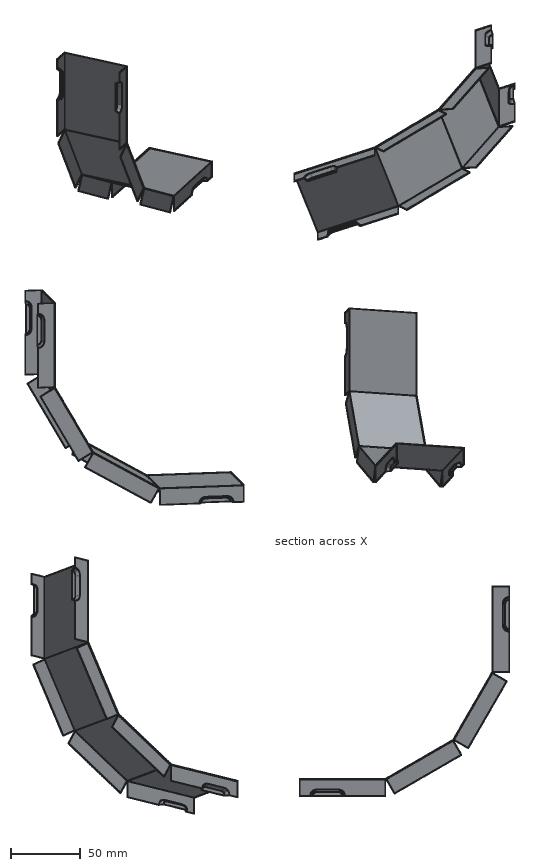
import cadquery as cq
import math

width = 50.0
span = 150.0
sheet = 0.5
flange_depth = 12.3
end_length = 61.5
bend_angle = 30.0
bend_gap = 0.22
relief_width = 0.9

recess_from_end = 20.0
recess_straight = 15.0
recess_radius = 4.8
recess_reach = 4.5
recess_depth = 3.1
recess_draft = 28.0

bend = math.radians(bend_angle)
draft = math.radians(recess_draft)
middle_length = (span - end_length - flange_depth) / (math.cos(bend) + math.sin(bend))
lengths = [end_length, middle_length, middle_length, end_length]

corners = [(span, flange_depth)]
for number, length in enumerate(lengths):
    y, z = corners[-1]
    corners.append((y - length * math.cos(number * bend), z + length * math.sin(number * bend)))


def make_skin():
    """All four panels as one mitred strip, inward of the corner line."""
    inner = []
    for number, (y, z) in enumerate(corners):
        before = max(number - 1, 0) * bend
        after = min(number, len(lengths) - 1) * bend
        heading = (before + after) / 2
        offset = sheet / math.cos((after - before) / 2)
        inner.append((y - offset * math.sin(heading), z - offset * math.cos(heading)))
    outline = cq.Workplane("YZ").polyline(corners + inner[::-1]).close()
    return outline.extrude(width / 2, both=True)


def make_bend_relief(number):
    """Pair of notches that narrow the sheet at one bend, between the flange ends."""
    side = (width - relief_width) / 2
    notches = cq.Workplane().pushPoints([(-side, 0), (side, 0)]).box(relief_width, 2 * bend_gap, 4 * sheet)
    mean_heading = (number - 0.5) * bend_angle
    return notches.rotate((0, 0, 0), (1, 0, 0), -mean_heading).translate((0, *corners[number]))


def recess_body(radius, face_x, middle_y):
    """Tapered slot growing toward +X from the plane at face_x."""
    return (
        cq.Workplane("YZ", origin=(face_x, middle_y, recess_reach - recess_radius - flange_depth))
        .slot2D(recess_straight + 2 * radius, 2 * radius)
        .extrude(recess_depth, taper=recess_draft)
    )


def make_flange(start, end, recess_at=None):
    """Flange on the -X side of a panel that runs toward -Y with its outer face at Z = 0."""
    outer_x = -width / 2
    size = (sheet + recess_depth, end - start, flange_depth)
    room = cq.Workplane().box(*size, centered=False).translate((outer_x, -end, -flange_depth))
    plate = cq.Workplane().box(sheet, *size[1:], centered=False).translate((outer_x, -end, -flange_depth))
    if recess_at is None:
        return plate
    boss_radius = recess_radius + sheet * (1 - math.sin(draft)) / math.cos(draft)
    boss = recess_body(boss_radius, outer_x + sheet, -recess_at).intersect(room)
    return plate.union(boss).cut(recess_body(recess_radius, outer_x, -recess_at))


result = make_skin()
last = len(lengths) - 1
recess_places = {0: recess_from_end, last: end_length - recess_from_end}
for number, length in enumerate(lengths):
    start = 0 if number == 0 else bend_gap
    end = length if number == last else length - bend_gap
    flange = make_flange(start, end, recess_places.get(number))
    pair = flange.union(flange.mirror("YZ"))
    turned = pair.rotate((0, 0, 0), (1, 0, 0), -number * bend_angle)
    result = result.union(turned.translate((0, *corners[number])))

for number in range(1, len(lengths)):
    result = result.cut(make_bend_relief(number))